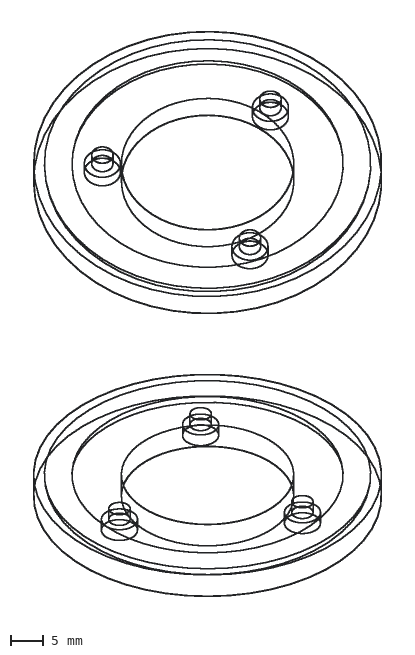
import cadquery as cq

outer_diameter = 53.0
bore_diameter = 26.25
thickness = 4.0

groove_width = 4.2
groove_centre_radius = 22.75

hole_diameter = 3.25
counterbore_diameter = 5.5
counterbore_depth = thickness / 2
hole_count = 3
hole_circle_radius = 16.125


def make_ring():
    """Flat ring standing on the XY plane."""
    return (
        cq.Workplane("XY")
        .circle(outer_diameter / 2)
        .circle(bore_diameter / 2)
        .extrude(thickness)
    )


def make_groove():
    """Torus centred on the top face; its lower half is the groove."""
    return (
        cq.Workplane("XZ")
        .center(groove_centre_radius, thickness)
        .circle(groove_width / 2)
        .revolve(360, (-groove_centre_radius, 0), (-groove_centre_radius, 1))
    )


def make_hole_pattern(diameter, depth):
    """Cylinders rising from the bottom face, equally spaced about Z from +X."""
    return (
        cq.Workplane("XY")
        .polarArray(hole_circle_radius, 0, 360, hole_count)
        .circle(diameter / 2)
        .extrude(depth)
    )


through_holes = make_hole_pattern(hole_diameter, thickness)
counterbores = make_hole_pattern(counterbore_diameter, counterbore_depth)

result = make_ring().cut(make_groove()).cut(through_holes).cut(counterbores)